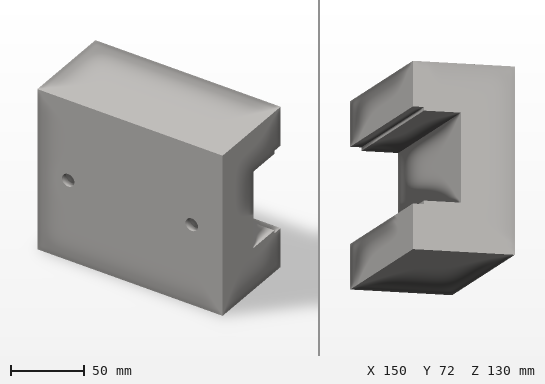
import cadquery as cq

length = 150.0
depth = 72.0
height = 130.0

channel_height = 62.1
channel_depth = 33.9
mouth_height = 67.0
mouth_depth = 7.8

hole_diameter = 10.0
hole_spacing = 100.0
hole_depth = 5.0

back_y = depth / 2
front_y = -depth / 2


def channel_cut(cut_height, cut_depth):
    """Full-length slot sunk into the +Y face."""
    return cq.Workplane("XY").box(length, cut_depth, cut_height).translate((0, back_y - cut_depth / 2, 0))


def blind_hole(x):
    """Flat-bottomed hole drilled in from the -Y face."""
    axis = cq.Vector(0, 1, 0)
    start = cq.Vector(x, front_y, 0)
    return cq.Solid.makeCylinder(hole_diameter / 2, hole_depth, start, axis)


result = cq.Workplane("XY").box(length, depth, height)
result = result.cut(channel_cut(channel_height, channel_depth))
result = result.cut(channel_cut(mouth_height, mouth_depth))
for hole_x in (-hole_spacing / 2, hole_spacing / 2):
    result = result.cut(blind_hole(hole_x))